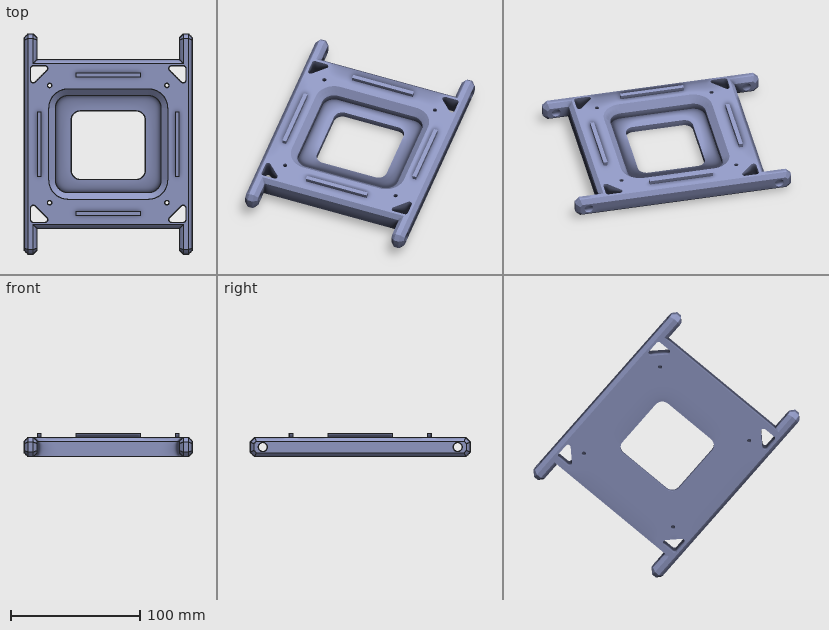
import cadquery as cq
import math

length = 170.5
width = 130.0
total_height = 18.0
rib_height = 3.0
body_height = total_height - rib_height
edge_chamfer = 3.0
bar_end_chamfer = 3.5

bar_width = 10.0
bar_center_x = (width - bar_width) / 2
plate_half_y = 65.5

bar_hole_diameter = 6.8
bar_hole_y = 75.3

recess_length_x = 92.0
recess_length_y = 85.4
recess_corner_radius = 15.0
rim_inset = 5.1
rim_depth = body_height / 3
floor_thickness = rim_depth
opening_length_x = 57.1
opening_length_y = 52.8
opening_center_y = -0.9
opening_corner_radius = 6.8

rib_length = 50.0
rib_width = 3.0
rib_center_x = 53.3
rib_center_y = 53.5

screw_hole_diameter = 3.2
screw_hole_offset = 45.3

window_corner_x = 60.0
window_corner_y = 60.5
window_leg = 16.0
window_radius = 2.0

corner_signs = [(sx, sy) for sx in (-1, 1) for sy in (-1, 1)]


def rounded_block(size_x, size_y, radius, height):
    """Block standing on Z = 0 with rounded vertical edges."""
    return cq.Workplane("XY").rect(size_x, size_y).extrude(height).edges("|Z").fillet(radius)


def side_bar(center_x):
    """Full-length bar: an end-chamfered side outline, then a chamfer around both side faces."""
    bar = cq.Workplane("XY").box(bar_width, length, body_height, centered=(True, True, False))
    bar = bar.edges("|X").chamfer(bar_end_chamfer)
    bar = bar.faces("<X or >X").edges().chamfer(edge_chamfer)
    return bar.translate((center_x, 0, 0))


def plate():
    """Plate between the bar centers, chamfered along its front and back top edges."""
    block = cq.Workplane("XY").box(
        2 * bar_center_x, 2 * plate_half_y, body_height, centered=(True, True, False)
    )
    return block.edges("|X and >Z").chamfer(edge_chamfer)


def recess():
    """Cutter for the recess: straight lower wall widening upward into a tapered rim."""
    inner_x = recess_length_x - 2 * rim_inset
    inner_y = recess_length_y - 2 * rim_inset
    inner_radius = recess_corner_radius - rim_inset
    well = rounded_block(inner_x, inner_y, inner_radius, body_height - floor_thickness)
    well = well.translate((0, 0, floor_thickness))
    outline = cq.Sketch().rect(recess_length_x, recess_length_y).vertices().fillet(recess_corner_radius)
    rim_taper = math.degrees(math.atan2(rim_inset, rim_depth))
    rim = cq.Workplane("XY", origin=(0, 0, body_height)).placeSketch(outline)
    return well.union(rim.extrude(-rim_depth, taper=rim_taper))


def corner_window(sign_x, sign_y):
    """Right-triangle cutter with its square corner toward the frame corner."""
    outer_x = sign_x * window_corner_x
    outer_y = sign_y * window_corner_y
    inner_x = sign_x * (window_corner_x - window_leg)
    inner_y = sign_y * (window_corner_y - window_leg)
    corners = [(outer_x, outer_y), (inner_x, outer_y), (outer_x, inner_y)]
    triangle = cq.Workplane("XY").polyline(corners).close()
    return triangle.extrude(body_height).edges("|Z").fillet(window_radius)


def rib(center_x, center_y, size_x, size_y):
    """Straight rib standing on the top face."""
    block = cq.Workplane("XY").box(size_x, size_y, rib_height, centered=(True, True, False))
    return block.translate((center_x, center_y, body_height))


result = plate()
for side in (-1, 1):
    result = result.union(side_bar(side * bar_center_x))

result = result.cut(recess())
opening = rounded_block(opening_length_x, opening_length_y, opening_corner_radius, body_height)
result = result.cut(opening.translate((0, opening_center_y, 0)))

for sign_x, sign_y in corner_signs:
    result = result.cut(corner_window(sign_x, sign_y))

screw_hole_points = [(sx * screw_hole_offset, sy * screw_hole_offset) for sx, sy in corner_signs]
screw_holes = cq.Workplane("XY").pushPoints(screw_hole_points).circle(screw_hole_diameter / 2)
result = result.cut(screw_holes.extrude(body_height))

bar_hole_points = [(side * bar_hole_y, body_height / 2) for side in (-1, 1)]
bar_holes = cq.Workplane("YZ").pushPoints(bar_hole_points).circle(bar_hole_diameter / 2)
result = result.cut(bar_holes.extrude(width / 2, both=True))

for side in (-1, 1):
    result = result.union(rib(0, side * rib_center_y, rib_length, rib_width))
    result = result.union(rib(side * rib_center_x, 0, rib_width, rib_length))